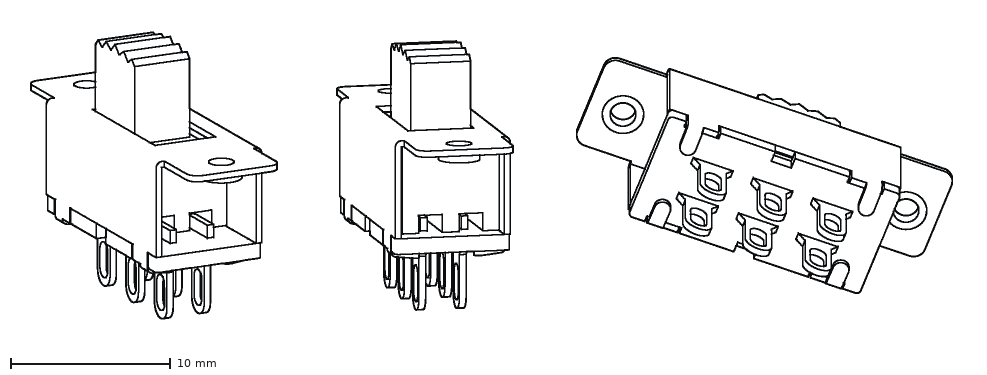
import cadquery as cq


SIDES = (-1, 1)

SHEET = 0.4
PLATE_LENGTH = 23.3
WING_WIDTH = 6.27
WING_CORNER_RADIUS = 0.77
BODY_LENGTH = 15.5
BODY_WIDTH = 7.4
FOLD_RADIUS = SHEET
INNER_WIDTH = BODY_WIDTH - 2 * SHEET
WINDOW_LENGTH = 8.8
WINDOW_WIDTH = 4.25

HOLE_DIAMETER = 1.6
HOLE_OFFSET = 9.48
COLLAR_DIAMETER = 2.6
COLLAR_BOTTOM = -1.0
COLLAR_FILLET = 0.3

BASE_THICKNESS = 1.0
BASE_TOP = -6.25
BASE_BOTTOM = BASE_TOP - BASE_THICKNESS
BASE_CORNER_RADIUS = 0.28
CORNER_TAB_LENGTH = 1.12
CENTRE_TAB_LENGTH = 8.62
TAB_GAP = 0.15
RECESS_LENGTH = 1.33
RECESS_DEPTH = 0.7

FOOT_WIDTH = 1.03
FOOT_DROP = 0.16
FOOT_TIP_Y = 1.77
FOOT_OUTER_X = BODY_LENGTH / 2 - CORNER_TAB_LENGTH - TAB_GAP

CARRIER_LENGTH = 11.1
CARRIER_WIDTH = WING_WIDTH
CARRIER_TOP = -0.47
CARRIER_BOTTOM = -6.05
CHANNEL_WIDTH = 4.47
CHANNEL_FLOOR = -0.86
GROOVE_WIDTH = 1.54
GROOVE_TOP = -4.92
KNOB_LENGTH = 5.5
KNOB_WIDTH = 3.87
END_GAP = 0.05
SLIDER_X = -(WINDOW_LENGTH - KNOB_LENGTH) / 2 + END_GAP
KNOB_SHOULDER = 4.26
GRIP_RIDGES = [(2.38, 4.64), (1.82, 4.3), (1.23, 4.85), (0.58, 4.45)]
GRIP_PEAK = 4.99

TERMINAL_PITCH = 4.0
TERMINAL_ROW_Y = 1.3
TERMINAL_COLUMNS = (-1, 0, 1)
TERMINAL_THICKNESS = 0.45
TERMINAL_TOP = -5.4
TERMINAL_BOTTOM = -11.5
SHANK_WIDTH = 2.65
LUG_WIDTH = 1.77
TAPER_BOTTOM = -7.95
EYE_WIDTH = 1.07
EYE_TOP = -8.65
EYE_BOTTOM = -10.97


def block(length, width, bottom, top, x=0, y=0):
    """A box centred on (x, y) that spans bottom to top in Z."""
    return (
        cq.Workplane("XY", origin=(x, y, bottom))
        .box(length, width, top - bottom, centered=(True, True, False))
    )


def frame_channel():
    """The folded part of the frame: top with rounded outer bends and two side walls."""
    shell = block(BODY_LENGTH, BODY_WIDTH, BASE_BOTTOM, 0)
    shell = shell.edges(">Z and |X").fillet(FOLD_RADIUS)
    return shell.cut(block(BODY_LENGTH, INNER_WIDTH, BASE_BOTTOM, -SHEET))


def frame_feet():
    """One foot with a round tip, mirrored to all four places."""
    outer_y = BODY_WIDTH / 2
    inner_y = INNER_WIDTH / 2
    root_bottom = BASE_BOTTOM - SHEET
    centre_x = FOOT_OUTER_X - FOOT_WIDTH / 2
    strip = (
        cq.Workplane("YZ", origin=(FOOT_OUTER_X - FOOT_WIDTH, 0, 0))
        .moveTo(outer_y, BASE_BOTTOM)
        .radiusArc((inner_y, root_bottom), SHEET)
        .lineTo(FOOT_TIP_Y, root_bottom - FOOT_DROP)
        .lineTo(FOOT_TIP_Y, BASE_BOTTOM - FOOT_DROP)
        .lineTo(inner_y, BASE_BOTTOM)
        .close()
        .extrude(FOOT_WIDTH)
    )
    tip_centre_y = FOOT_TIP_Y + FOOT_WIDTH / 2
    outline = (
        cq.Workplane("XY", origin=(centre_x, 0, BASE_BOTTOM))
        .moveTo(FOOT_WIDTH / 2, outer_y)
        .lineTo(FOOT_WIDTH / 2, tip_centre_y)
        .threePointArc((0, FOOT_TIP_Y), (-FOOT_WIDTH / 2, tip_centre_y))
        .lineTo(-FOOT_WIDTH / 2, outer_y)
        .close()
        .extrude(-SHEET - FOOT_DROP)
    )
    foot = strip.intersect(outline)
    pair = foot.union(foot.mirror("YZ"))
    return pair.union(pair.mirror("XZ"))


def mounting_collars():
    """Round collars under both wings, blended into the plate."""
    radius = COLLAR_DIAMETER / 2
    collar = (
        cq.Workplane("XZ")
        .moveTo(0, -SHEET)
        .lineTo(radius + COLLAR_FILLET, -SHEET)
        .radiusArc((radius, -SHEET - COLLAR_FILLET), -COLLAR_FILLET)
        .lineTo(radius, COLLAR_BOTTOM)
        .lineTo(0, COLLAR_BOTTOM)
        .close()
        .revolve(360, (0, 0, 0), (0, 1, 0))
        .translate((HOLE_OFFSET, 0, 0))
    )
    return collar.union(collar.mirror("YZ"))


def tab_notches():
    """Clearance through the frame walls for the tabs of the base."""
    notches = block(CENTRE_TAB_LENGTH + 2 * TAB_GAP, BODY_WIDTH, BASE_BOTTOM, BASE_TOP)
    notch_length = CORNER_TAB_LENGTH + TAB_GAP
    for side in SIDES:
        notch_x = side * (BODY_LENGTH - notch_length) / 2
        notches = notches.union(block(notch_length, BODY_WIDTH, BASE_BOTTOM, BASE_TOP, x=notch_x))
    return notches


def make_frame():
    plate = block(PLATE_LENGTH, WING_WIDTH, -SHEET, 0).edges("|Z").fillet(WING_CORNER_RADIUS)
    window = block(WINDOW_LENGTH, WINDOW_WIDTH, -SHEET, 0)
    holes = (
        cq.Workplane("XY")
        .pushPoints([(-HOLE_OFFSET, 0), (HOLE_OFFSET, 0)])
        .circle(HOLE_DIAMETER / 2)
        .extrude(COLLAR_BOTTOM)
    )
    walls = frame_channel().cut(tab_notches()).union(frame_feet())
    return walls.union(plate).union(mounting_collars()).cut(window).cut(holes)


def make_terminal(column, side):
    """A flat lug with a tapered shoulder, a round end and a slotted eye."""
    lug_radius = LUG_WIDTH / 2
    arc_centre_z = TERMINAL_BOTTOM + lug_radius
    centre = (column * TERMINAL_PITCH, side * TERMINAL_ROW_Y + TERMINAL_THICKNESS / 2, 0)
    plate = (
        cq.Workplane("XZ", origin=centre)
        .moveTo(-SHANK_WIDTH / 2, TERMINAL_TOP)
        .lineTo(SHANK_WIDTH / 2, TERMINAL_TOP)
        .lineTo(SHANK_WIDTH / 2, BASE_BOTTOM)
        .lineTo(lug_radius, TAPER_BOTTOM)
        .lineTo(lug_radius, arc_centre_z)
        .threePointArc((0, TERMINAL_BOTTOM), (-lug_radius, arc_centre_z))
        .lineTo(-lug_radius, TAPER_BOTTOM)
        .lineTo(-SHANK_WIDTH / 2, BASE_BOTTOM)
        .close()
        .extrude(TERMINAL_THICKNESS)
    )
    eye = (
        cq.Workplane("XZ", origin=centre)
        .center(0, (EYE_TOP + EYE_BOTTOM) / 2)
        .slot2D(EYE_TOP - EYE_BOTTOM, EYE_WIDTH, 90)
        .extrude(TERMINAL_THICKNESS)
    )
    return plate.cut(eye)


def make_base():
    """The base plate with tabs into the wall notches and slots for the terminals."""
    core = block(BODY_LENGTH, INNER_WIDTH, BASE_BOTTOM, BASE_TOP)
    tabs = block(CENTRE_TAB_LENGTH, BODY_WIDTH, BASE_BOTTOM, BASE_TOP)
    for side in SIDES:
        tab_x = side * (BODY_LENGTH - CORNER_TAB_LENGTH) / 2
        tabs = tabs.union(block(CORNER_TAB_LENGTH, BODY_WIDTH, BASE_BOTTOM, BASE_TOP, x=tab_x))
    rounded = block(BODY_LENGTH, BODY_WIDTH, BASE_BOTTOM, BASE_TOP)
    rounded = rounded.edges("|Z").fillet(BASE_CORNER_RADIUS)
    base = core.union(tabs).intersect(rounded)
    for side in SIDES:
        recess_y = side * (BODY_WIDTH - RECESS_DEPTH) / 2
        base = base.cut(block(RECESS_LENGTH, RECESS_DEPTH, BASE_BOTTOM, BASE_TOP, y=recess_y))
    for column in TERMINAL_COLUMNS:
        for side in SIDES:
            slot_x = column * TERMINAL_PITCH
            slot_y = side * TERMINAL_ROW_Y
            base = base.cut(block(SHANK_WIDTH, TERMINAL_THICKNESS, BASE_BOTTOM, BASE_TOP, slot_x, slot_y))
    return base


def slider_carrier():
    """The block under the plate, with a top channel and a groove over each terminal row."""
    carrier = block(CARRIER_LENGTH, CARRIER_WIDTH, CARRIER_BOTTOM, CARRIER_TOP)
    carrier = carrier.cut(block(CARRIER_LENGTH, CHANNEL_WIDTH, CHANNEL_FLOOR, CARRIER_TOP))
    for side in SIDES:
        groove_y = side * TERMINAL_ROW_Y
        carrier = carrier.cut(block(CARRIER_LENGTH, GROOVE_WIDTH, CARRIER_BOTTOM, GROOVE_TOP, y=groove_y))
    return carrier


def slider_knob():
    """The knob, with saw-tooth grip ridges mirrored about its middle."""
    half = KNOB_LENGTH / 2
    left_ridges = [(-x, z) for x, z in GRIP_RIDGES]
    right_ridges = GRIP_RIDGES[::-1]
    outline = [
        (-half, CHANNEL_FLOOR),
        (-half, KNOB_SHOULDER),
        *left_ridges,
        (0, GRIP_PEAK),
        *right_ridges,
        (half, KNOB_SHOULDER),
        (half, CHANNEL_FLOOR),
    ]
    return cq.Workplane("XZ").polyline(outline).close().extrude(KNOB_WIDTH / 2, both=True)


def make_slider():
    return slider_carrier().union(slider_knob()).translate((SLIDER_X, 0, 0))


frame = make_frame()
base = make_base()
slider = make_slider()
terminals = [make_terminal(column, side) for column in TERMINAL_COLUMNS for side in SIDES]

result = cq.Compound.makeCompound(
    [frame.val(), base.val(), slider.val(), *[terminal.val() for terminal in terminals]]
)